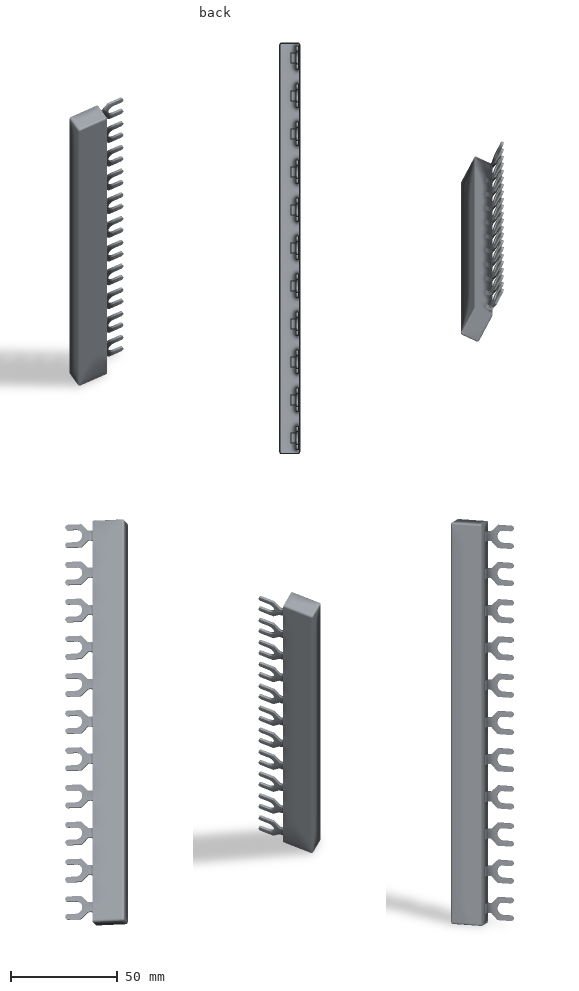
import cadquery as cq

housing_width = 9.5
housing_depth = 15.2
housing_length = 192.0
edge_radius = 1.0

overall_depth = 28.2
tooth_count = 11
teeth_span = 177.8
bottom_tooth_z = 7.3
sheet_thickness = 1.2
tooth_side_gap = 0.5

fork_width = 11.0
slot_width = 6.0
prong_end_radius = 1.2
slot_reach = 8.0
straight_reach = 7.7
neck_width = 4.6

bend_rises = [1.7, 1.2, 1.7]
elbow_rise = 0.5
leg_reach = 3.5

back_y = housing_depth / 2
front_y = -back_y
tip_y = front_y + overall_depth
tooth_pitch = teeth_span / (tooth_count - 1)
top_tooth_z = bottom_tooth_z + teeth_span - housing_length / 2
sheet_x = -housing_width / 2 + tooth_side_gap


def make_housing():
    """Bar with every edge rounded except those around its flat back face."""
    bar = cq.Workplane("XY").box(housing_width, housing_depth, housing_length)
    front_and_side_edges = bar.edges("<Y or |Y")
    return front_and_side_edges.fillet(edge_radius)


def make_fork(center_z, base_y):
    """Flat two-pronged fork whose neck runs down to base_y."""
    half_fork = fork_width / 2
    half_slot = slot_width / 2
    half_neck = neck_width / 2
    shoulder_y = tip_y - straight_reach
    neck_y = shoulder_y - (half_fork - half_neck)
    slot_arc_y = tip_y - slot_reach + half_slot
    plate = (
        cq.Workplane("YZ", origin=(sheet_x, 0, center_z))
        .moveTo(base_y, half_neck)
        .lineTo(neck_y, half_neck)
        .lineTo(shoulder_y, half_fork)
        .lineTo(tip_y, half_fork)
        .lineTo(tip_y, half_slot)
        .lineTo(slot_arc_y, half_slot)
        .threePointArc((tip_y - slot_reach, 0), (slot_arc_y, -half_slot))
        .lineTo(tip_y, -half_slot)
        .lineTo(tip_y, -half_fork)
        .lineTo(shoulder_y, -half_fork)
        .lineTo(neck_y, -half_neck)
        .lineTo(base_y, -half_neck)
        .close()
        .extrude(sheet_thickness)
    )
    return plate.edges("|X and >Y").fillet(prong_end_radius)


def make_elbow(center_z, bend_y):
    """Neck bend turning the sheet towards +X, with the leg sunk in the housing."""
    leg_top_y = back_y + elbow_rise
    leg_bottom_y = leg_top_y - sheet_thickness
    outer_radius = bend_y - leg_bottom_y
    inner_radius = outer_radius - sheet_thickness
    diagonal = 0.5 ** 0.5
    axis_x = sheet_x + outer_radius
    return (
        cq.Workplane("XY", origin=(0, 0, center_z - neck_width / 2))
        .moveTo(sheet_x, bend_y)
        .threePointArc(
            (axis_x - outer_radius * diagonal, bend_y - outer_radius * diagonal),
            (axis_x, leg_bottom_y),
        )
        .lineTo(sheet_x + leg_reach, leg_bottom_y)
        .lineTo(sheet_x + leg_reach, leg_top_y)
        .lineTo(axis_x, leg_top_y)
        .threePointArc(
            (axis_x - inner_radius * diagonal, bend_y - inner_radius * diagonal),
            (axis_x - inner_radius, bend_y),
        )
        .close()
        .extrude(neck_width)
    )


result = make_housing()
for index in range(tooth_count):
    tooth_z = top_tooth_z - index * tooth_pitch
    bend_start_y = back_y + bend_rises[index % len(bend_rises)]
    result = result.union(make_fork(tooth_z, bend_start_y))
    result = result.union(make_elbow(tooth_z, bend_start_y))